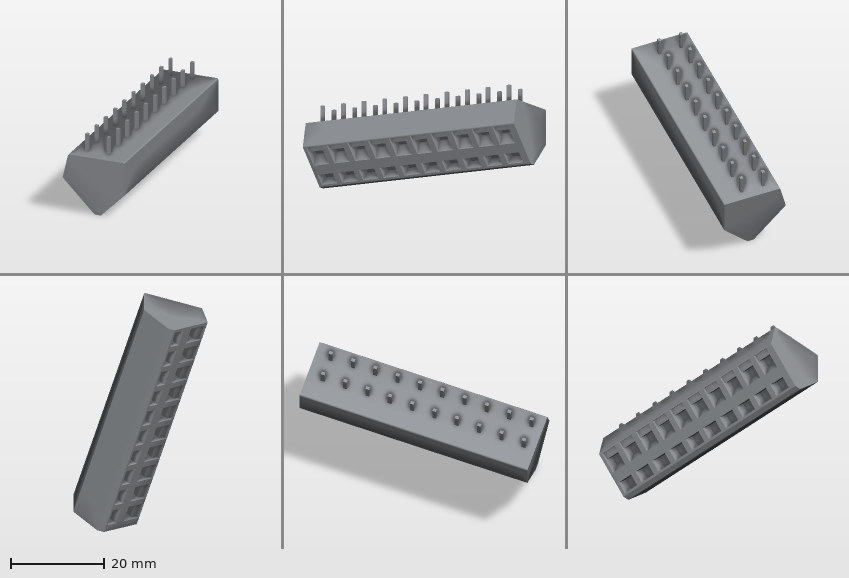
import cadquery as cq
import math


LENGTH = 51.8
HEIGHT = 13.0
RIGHT_X = 14.3
NOSE_X = 0.0
NOSE_Z = 7.45
TOP_LEFT_X = 1.3
FLAT_WIDTH = 1.45
EDGE_RADIUS = 0.3

WAYS = 10
WAY_PITCH = 5.1
PIN_END_GAP = 2.55
POCKET_END_GAP = 2.6

PIN_ROWS_X = (4.25, 9.25)
PIN_SIZE_X = 0.65
PIN_SIZE_Y = 0.85
PIN_HEIGHT = 4.0

POCKET_WIDTH = 3.75
POCKET_DEPTH = 2.85
LOWER_POCKET_LEVELS = (0.35, 2.25)
UPPER_POCKET_LEVELS = (3.95, 7.25)
RECESS_DEPTH = 0.6
RAMP_LEAN = 12.5
RAMP_HEIGHT = 2.05
ROOF_LEVEL = 6.2

flat_left_x = NOSE_X + NOSE_Z
flat_right_x = flat_left_x + FLAT_WIDTH
right_corner_z = RIGHT_X - flat_right_x


def way_positions(end_gap):
    return [LENGTH - end_gap - i * WAY_PITCH for i in range(WAYS)]


def face_point(level, depth=0.0):
    """Section point reached by sinking square into the lower left face from a level on it."""
    step = depth * math.sqrt(0.5)
    return (flat_left_x - level + step, level + step)


def extrude_section(points, y_middle, width):
    """Prism of an XZ outline, centred on y_middle."""
    plane = cq.Workplane("XZ", origin=(0, y_middle, 0))
    return plane.polyline(points).close().extrude(width / 2, both=True)


def make_housing():
    outline = [
        (flat_left_x, 0),
        (flat_right_x, 0),
        (RIGHT_X, right_corner_z),
        (RIGHT_X, HEIGHT),
        (TOP_LEFT_X, HEIGHT),
        (NOSE_X, NOSE_Z),
    ]
    bar = extrude_section(outline, LENGTH / 2, LENGTH)
    top_edges = bar.edges("|Y and >Z")
    nose_edge = bar.edges("|Y and <X")
    return bar.newObject(top_edges.vals() + nose_edge.vals()).fillet(EDGE_RADIUS)


def lower_pocket_outline():
    bottom, top = LOWER_POCKET_LEVELS
    return [
        face_point(bottom),
        face_point(bottom, POCKET_DEPTH),
        face_point(top, POCKET_DEPTH),
        face_point(top),
    ]


def upper_pocket_outline():
    bottom, top = UPPER_POCKET_LEVELS
    ramp_x, ramp_z = face_point(bottom, RECESS_DEPTH)
    ramp_top_x = ramp_x + RAMP_HEIGHT * math.tan(math.radians(RAMP_LEAN))
    ramp_top_z = ramp_z + RAMP_HEIGHT
    floor_level = (ramp_top_z - ramp_top_x + flat_left_x) / 2
    return [
        face_point(bottom),
        (ramp_x, ramp_z),
        (ramp_top_x, ramp_top_z),
        face_point(floor_level, POCKET_DEPTH),
        face_point(ROOF_LEVEL, POCKET_DEPTH),
        face_point(ROOF_LEVEL, RECESS_DEPTH),
        face_point(top, RECESS_DEPTH),
        face_point(top),
    ]


result = make_housing()
for y in way_positions(POCKET_END_GAP):
    for outline in (lower_pocket_outline(), upper_pocket_outline()):
        result = result.cut(extrude_section(outline, y, POCKET_WIDTH))

pin_centres = [(x, y) for x in PIN_ROWS_X for y in way_positions(PIN_END_GAP)]
pins = (
    cq.Workplane("XY", origin=(0, 0, HEIGHT))
    .pushPoints(pin_centres)
    .rect(PIN_SIZE_X, PIN_SIZE_Y)
    .extrude(PIN_HEIGHT)
)
result = result.union(pins)